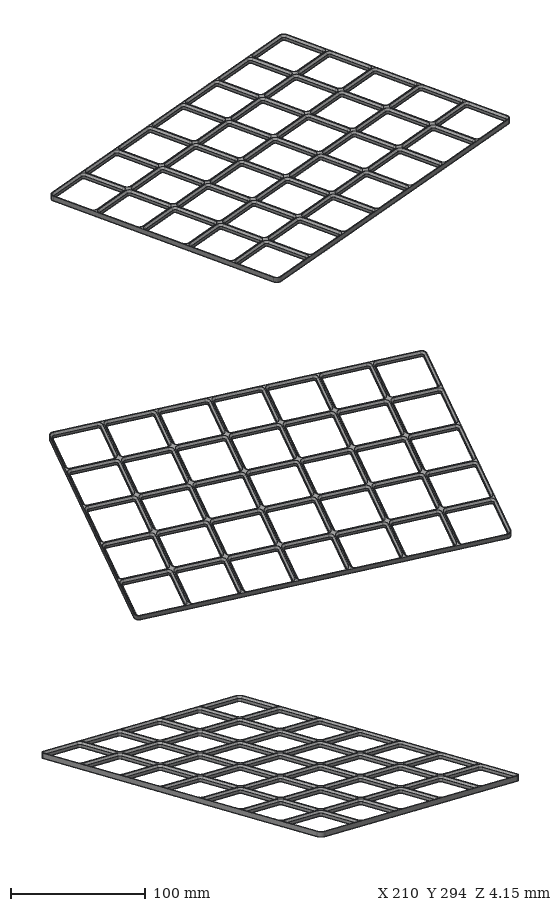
import cadquery as cq

cell_pitch = 42.0
cells_x = 5
cells_y = 7
outer_corner_radius = 4.0

plate_height = 4.15
upright_height = 2.5
mouth_height = plate_height - upright_height

ridge_width = 1.0
mouth_size = cell_pitch - ridge_width
mouth_corner_radius = outer_corner_radius - ridge_width / 2

throat_size = mouth_size - 2 * mouth_height
throat_corner_radius = mouth_corner_radius - mouth_height


def rounded_square(size, corner_radius):
    """Square centred on the origin with rounded corners."""
    return cq.Sketch().rect(size, size).vertices().fillet(corner_radius)


def make_plate():
    """Solid plate with rounded outer corners, resting on Z = 0."""
    plate = cq.Workplane("XY").box(
        cells_x * cell_pitch,
        cells_y * cell_pitch,
        plate_height,
        centered=(True, True, False),
    )
    return plate.edges("|Z").fillet(outer_corner_radius)


def make_cell_cutter():
    """Through opening of one cell: upright below, widening to the mouth above."""
    throat = rounded_square(throat_size, throat_corner_radius)
    mouth_rise = cq.Location(cq.Vector(0, 0, mouth_height))
    mouth = rounded_square(mouth_size, mouth_corner_radius).moved(mouth_rise)
    upright_band = cq.Workplane("XY").placeSketch(throat).extrude(upright_height)
    sloped_mouth = cq.Workplane("XY", origin=(0, 0, upright_height)).placeSketch(throat, mouth).loft()
    return upright_band.union(sloped_mouth)


def make_all_cell_cutters():
    """One cell opening at every grid position, centred on the origin."""
    cell_cutter = make_cell_cutter().val()
    cell_centres = cq.Workplane("XY").rarray(cell_pitch, cell_pitch, cells_x, cells_y)
    return cell_centres.eachpoint(lambda location: cell_cutter.moved(location))


result = make_plate().cut(make_all_cell_cutters())